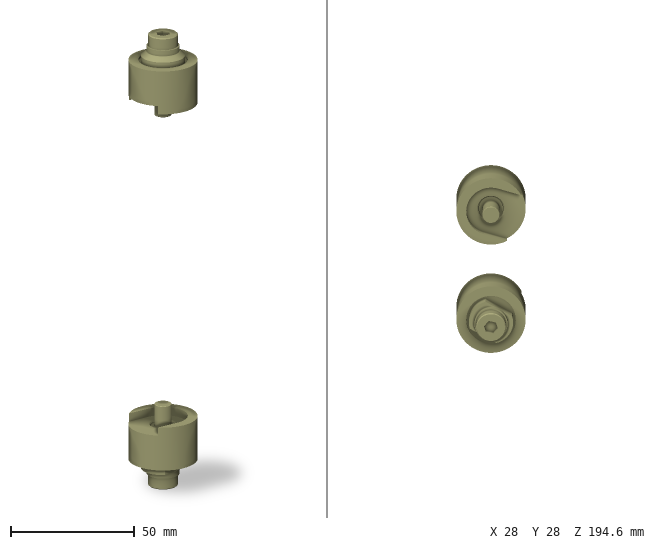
import cadquery as cq

overall_height = 194.6
unit_end = overall_height / 2

screw_length = 35.0
head_diameter = 12.0
head_height = 5.0
head_chamfer = 0.4
shank_diameter = 7.0
shank_chamfer = 0.2
socket_width = 5.0
socket_depth = 3.1

washer_diameter = 13.5
washer_thickness = 2.3
screw_hole_diameter = 7.2

flange_diameter = 18.0
flange_standout = 3.9
flange_chamfer = 2.0
sleeve_diameter = 9.7
sleeve_setback = 0.5
wrench_flat_width = 13.0
wrench_flat_angle = 17.6

housing_diameter = 28.0
housing_height = 18.5
sleeve_hole_diameter = 10.1
sleeve_hole_chamfer = 0.49
flange_recess_diameter = 20.0
flange_recess_depth = 1.0
slot_width = 20.0
slot_depth = 3.5
slot_angle = 5.0

head_seat = unit_end - head_height
washer_seat = head_seat - washer_thickness
housing_top = washer_seat - flange_standout
recess_floor = housing_top - flange_recess_depth
housing_bottom = housing_top - housing_height
slot_roof = housing_bottom + slot_depth
sleeve_end = slot_roof + sleeve_setback
shank_end = unit_end - screw_length


def disc(diameter, bottom, top):
    """Upright cylinder on the Z axis between two levels."""
    return cq.Workplane("XY", origin=(0, 0, bottom)).circle(diameter / 2).extrude(top - bottom)


def make_screw():
    """Screw with a hexagon socket and a plain shank."""
    head = disc(head_diameter, head_seat, unit_end).faces(">Z").edges().chamfer(head_chamfer)
    shank = disc(shank_diameter, shank_end, head_seat).faces("<Z").edges().chamfer(shank_chamfer)
    socket = (
        cq.Workplane("XY", origin=(0, 0, unit_end - socket_depth))
        .polygon(6, socket_width, circumscribed=True)
        .extrude(socket_depth)
    )
    return head.union(shank).cut(socket)


def make_washer():
    """Plain ring between the screw head and the bushing flange."""
    ring = disc(washer_diameter, washer_seat, head_seat)
    return ring.cut(disc(screw_hole_diameter, washer_seat, head_seat))


def make_bushing(flange):
    """Flange joined to its sleeve, both bored for the screw."""
    sleeve = disc(sleeve_diameter, sleeve_end, recess_floor)
    bore = disc(screw_hole_diameter, sleeve_end, washer_seat)
    return flange.union(sleeve).cut(bore)


def make_chamfered_bushing():
    """Bushing whose round flange has a chamfered outer rim."""
    flange = disc(flange_diameter, recess_floor, washer_seat)
    return make_bushing(flange.faces(">Z").edges().chamfer(flange_chamfer))


def make_flatted_bushing():
    """Bushing whose round flange has two parallel wrench flats."""
    between_flats = (
        cq.Workplane("XY", origin=(0, 0, recess_floor))
        .rect(wrench_flat_width, flange_diameter)
        .extrude(washer_seat - recess_floor)
        .rotate((0, 0, 0), (0, 0, 1), wrench_flat_angle)
    )
    return make_bushing(disc(flange_diameter, recess_floor, washer_seat).intersect(between_flats))


def make_slot():
    """Round-ended slot at the inner end of the housing, open towards -Y."""
    rounded_end = disc(slot_width, housing_bottom, slot_roof)
    open_run = (
        cq.Workplane("XY", origin=(0, 0, housing_bottom))
        .center(0, -housing_diameter / 2)
        .rect(slot_width, housing_diameter)
        .extrude(slot_depth)
        .rotate((0, 0, 0), (0, 0, 1), slot_angle)
    )
    return rounded_end.union(open_run)


def make_housing():
    """Round housing with a flange recess, a slot and a sleeve hole chamfered at the slot."""
    body = disc(housing_diameter, housing_bottom, housing_top)
    flange_recess = disc(flange_recess_diameter, recess_floor, housing_top)
    sleeve_hole = disc(sleeve_hole_diameter, slot_roof, recess_floor)
    hole_radius = sleeve_hole_diameter / 2
    countersink = cq.Solid.makeCone(
        hole_radius + sleeve_hole_chamfer, hole_radius, sleeve_hole_chamfer, pnt=cq.Vector(0, 0, slot_roof)
    )
    return body.cut(flange_recess).cut(make_slot()).cut(sleeve_hole).cut(cq.Workplane(countersink))


bodies = [
    make_chamfered_bushing().solids().val(),
    make_flatted_bushing().mirror("XY").solids().val(),
]

for make_body in (make_screw, make_washer, make_housing):
    upper = make_body()
    lower = upper.mirror("XY")
    bodies += [upper.solids().val(), lower.solids().val()]

result = cq.Compound.makeCompound(bodies)